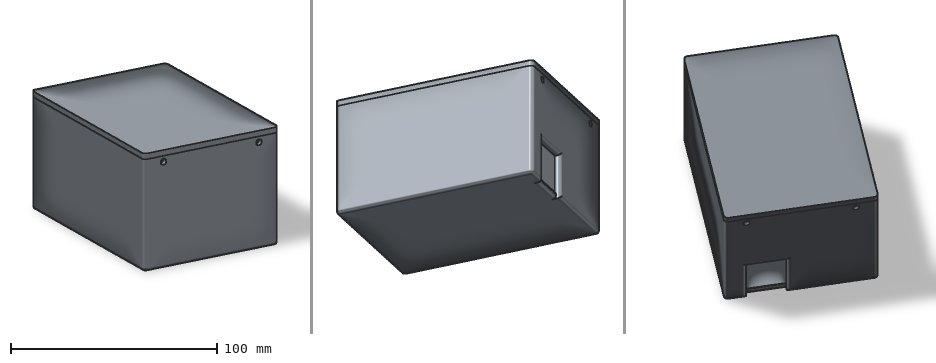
import cadquery as cq

length = 106.0
width = 76.0
height = 61.0

wall = 3.0
edge_radius = 2.0
lid_thickness = 3.0
box_height = height - lid_thickness

hole_diameter = 3.1
hole_spacing = 54.0
hole_height = height - 6.0

opening_width = 19.9
opening_height = 23.2
opening_center_y = 17.0
sill_depth = 2.3


def corner_rounded_block(base, block_height):
    """Full-size block from z = base upward, with rounded vertical corners."""
    return (
        cq.Workplane("XY", origin=(0, 0, base))
        .rect(length, width)
        .extrude(block_height)
        .edges("|Z")
        .fillet(edge_radius)
    )


def make_opening():
    """Cutter for the opening, flared by a rounding where it meets the -X face."""
    straight = (
        cq.Workplane("XY")
        .box(sill_depth + edge_radius, opening_width, opening_height, centered=(False, True, False))
        .translate((-length / 2, opening_center_y, 0))
    )
    mouth = (
        cq.Workplane("XY")
        .box(
            edge_radius,
            opening_width + 2 * edge_radius,
            opening_height + edge_radius,
            centered=(False, True, False),
        )
        .translate((-length / 2, opening_center_y, 0))
    )
    half_mouth = opening_width / 2 + edge_radius
    mouth_top = opening_height + edge_radius
    for side in (-1, 1):
        mouth = mouth.cut(
            cq.Workplane("XY", origin=(-length / 2 + edge_radius, opening_center_y + side * half_mouth, 0))
            .circle(edge_radius)
            .extrude(mouth_top)
        )
    mouth = mouth.cut(
        cq.Workplane("XZ", origin=(-length / 2 + edge_radius, opening_center_y, mouth_top))
        .circle(edge_radius)
        .extrude(half_mouth, both=True)
    )
    return straight.union(mouth).cut(make_sill_nose())


def make_sill_nose():
    """Round front edge of the floor between the jambs, rising to a small lip at the cavity."""
    nose_x = -length / 2 + sill_depth + edge_radius
    return (
        cq.Workplane("XZ", origin=(nose_x, opening_center_y, edge_radius))
        .circle(edge_radius)
        .extrude(opening_width / 2, both=True)
    )


def make_box():
    """Open-topped box with rounded outer edges, a rounded opening and screw holes."""
    block = corner_rounded_block(0, box_height).faces("<Z").edges().fillet(edge_radius)
    cavity = (
        cq.Workplane("XY")
        .box(length - 2 * wall, width - 2 * wall, box_height - wall, centered=(True, True, False))
        .translate((0, 0, wall))
    )
    return block.cut(make_opening()).cut(cavity).cut(make_screw_holes())


def make_screw_holes():
    """Two cylinders along X that pierce both end walls."""
    return (
        cq.Workplane("YZ", origin=(-length / 2, 0, hole_height))
        .pushPoints([(-hole_spacing / 2, 0), (hole_spacing / 2, 0)])
        .circle(hole_diameter / 2)
        .extrude(length)
    )


def make_lid():
    """Flat lid with the same corner radius as the box."""
    return corner_rounded_block(box_height, lid_thickness)


box = make_box()
lid = make_lid()
result = cq.Compound.makeCompound([box.val(), lid.val()])